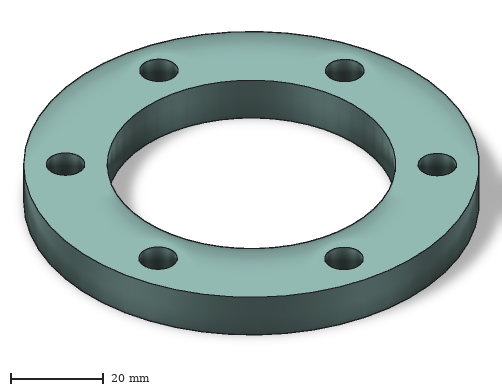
import cadquery as cq

outer_diameter = 98.0
bore_diameter = 62.0
thickness = 10.0

bolt_count = 6
bolt_circle_diameter = 80.0
bolt_hole_diameter = 8.2


def make_ring():
    """Flat ring with its lower face at Z = 0."""
    return (
        cq.Workplane("XY")
        .circle(outer_diameter / 2)
        .circle(bore_diameter / 2)
        .extrude(thickness)
    )


def make_bolt_holes():
    """Cylinders to remove for the through holes."""
    return (
        cq.Workplane("XY")
        .polarArray(bolt_circle_diameter / 2, 0, 360, bolt_count)
        .circle(bolt_hole_diameter / 2)
        .extrude(thickness)
    )


result = make_ring().cut(make_bolt_holes())